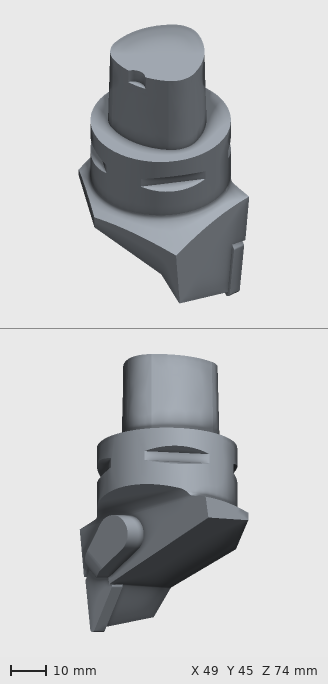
import cadquery as cq
import math



def tan_deg(angle):
    return math.tan(math.radians(angle))


def sin_deg(angle):
    return math.sin(math.radians(angle))


def cos_deg(angle):
    return math.cos(math.radians(angle))


def polar(length, angle):
    return (length * cos_deg(angle), length * sin_deg(angle))


BLOCK_SIZE = 120.0
TOUCHING = 1e-4

shank_height = 24.0
lobe_radius = 8.3
lobe_offset = 6.7
side_radius = 20.78
shank_taper = math.degrees(math.atan(1 / 40))
notch_radius = 3.5
notch_center_y = -14.3
notch_depth = 4.0

flange_radius = 20.0
groove_z = -8.0
groove_floor_width = 2.67
groove_depth = 2.34
groove_flank_angle = 30.0
groove_count = 4

shoulder_z = -19.85
shoulder_angle = 16.0
shoulder_fillet = 1.2
blank_radius = 60.0
blank_bottom_z = -60.0

head_left_x = -22.0
head_front_y = -25.0
corner_front_x = -6.1
corner_left_y = -9.0
end_point = (21.72, head_front_y, -23.57)
end_normal = (1, -0.1084, 0.078)

underside_point = (head_left_x, corner_left_y, -23.17)
underside_normal = (-0.3225, -0.2047, -1)
neck_point = (16.6, head_front_y, -32.25)
neck_normal = (-1.273, -0.206, -1)
neck_fillet = 1.0

neck_tip_front = (22.6, head_front_y, -40.1)
neck_tip_left = (24.8, -4.3, -47.75)
neck_tip_right = (26.05, -4.3, -47.75)

nose_radius = 0.8
nose_center = (26.16, 0.1, -49.23)
insert_inscribed = 9.525
insert_thickness = 4.76
insert_point_angle = 35.0
lead_angle = 93.4
edge_inclination = 13.0
rake_angle = 4.0

rear_step = 1.25
recess_point = (0, 14.2, -17.78)
recess_normal = (0, tan_deg(15), -1)
recess_fillet = 3.5

clamp_height = 7.2
clamp_radius = 5.46
clamp_center = (-19.2, 23.75)
clamp_nose_radius = 3.2
clamp_nose_center = (-9.2, 16.4)
clamp_nose_rounding = 6.0

edge_lean = lead_angle - 90
slope_across = tan_deg(rake_angle)
slope_along = tan_deg(edge_inclination)
rake_slope_x = -slope_across * cos_deg(edge_lean) - slope_along * sin_deg(edge_lean)
rake_slope_z = slope_along * cos_deg(edge_lean) - slope_across * sin_deg(edge_lean)
rake_plane = cq.Plane(
    origin=nose_center,
    xDir=(1, rake_slope_x, 0),
    normal=(rake_slope_x, -1, rake_slope_z),
)


def rake_workplane(depth):
    """Workplane parallel to the rake plane, the given depth into the head."""
    return cq.Workplane(rake_plane).workplane(offset=depth)


def beyond(point, outward):
    """Block filling the space outside a plane."""
    plane = cq.Plane(origin=point, normal=outward)
    return cq.Workplane(plane).rect(2 * BLOCK_SIZE, 2 * BLOCK_SIZE).extrude(BLOCK_SIZE)


def rounded_wedge(first_point, first_normal, second_point, second_normal, radius):
    """Space outside two planes at once, with its inner edge rounded."""
    wedge = beyond(first_point, first_normal).intersect(beyond(second_point, second_normal))

    def on_plane(edge, point, normal):
        offset = edge.Center() - cq.Vector(*point)
        return abs(offset.dot(cq.Vector(*normal).normalized())) < TOUCHING

    inner = [
        edge
        for edge in wedge.edges().vals()
        if on_plane(edge, first_point, first_normal) and on_plane(edge, second_point, second_normal)
    ]
    return wedge.newObject(inner).fillet(radius)


def shank_outline():
    """Three small lobe arcs joined tangentially by three large side arcs."""
    gap = side_radius - lobe_radius
    side_offset = math.sqrt(gap**2 - (lobe_offset * sin_deg(60)) ** 2) - lobe_offset * cos_deg(60)
    side_apothem = side_radius - side_offset
    tangent_x = lobe_offset * cos_deg(30) * side_radius / gap
    tangent_y = side_offset - math.sqrt(side_radius**2 - tangent_x**2)
    tangent_distance = math.hypot(tangent_x, tangent_y)
    half_side = math.degrees(math.atan2(tangent_x, -tangent_y))

    first_side = 270
    outline = cq.Workplane("XY").moveTo(*polar(tangent_distance, first_side - half_side))
    for side_angle in (first_side, first_side + 120, first_side + 240):
        side_middle = polar(side_apothem, side_angle)
        side_end = polar(tangent_distance, side_angle + half_side)
        lobe_middle = polar(lobe_offset + lobe_radius, side_angle + 60)
        lobe_end = polar(tangent_distance, side_angle + 120 - half_side)
        outline = outline.threePointArc(side_middle, side_end)
        outline = outline.threePointArc(lobe_middle, lobe_end)
    return outline.close()


def make_shank():
    shank = shank_outline().extrude(shank_height, taper=shank_taper)
    notch = (
        cq.Workplane("XY", origin=(0, notch_center_y, shank_height - notch_depth))
        .circle(notch_radius)
        .extrude(notch_depth)
    )
    return shank.cut(notch)


def make_blank():
    """Flange and conical shoulder as one turned blank, reaching past the sides of the head."""
    tangent = shoulder_fillet * tan_deg((90 - shoulder_angle) / 2)
    fillet_end = (
        flange_radius + tangent * cos_deg(shoulder_angle),
        shoulder_z - tangent * sin_deg(shoulder_angle),
    )
    rim_z = shoulder_z - (blank_radius - flange_radius) * tan_deg(shoulder_angle)
    profile = (
        cq.Workplane("XZ")
        .lineTo(flange_radius, 0)
        .lineTo(flange_radius, shoulder_z + tangent)
        .tangentArcPoint(fillet_end, relative=False)
        .lineTo(blank_radius, rim_z)
        .lineTo(blank_radius, blank_bottom_z)
        .lineTo(0, blank_bottom_z)
        .close()
    )
    return profile.revolve(360, (0, 0, 0), (0, 1, 0))


def cut_head_sides(body):
    """Flat left, front, corner and end sides of the head."""
    corner_run = corner_front_x - head_left_x
    corner_rise = corner_left_y - head_front_y
    body = body.cut(beyond((head_left_x, 0, 0), (-1, 0, 0)))
    body = body.cut(beyond((0, head_front_y, 0), (0, -1, 0)))
    body = body.cut(beyond((head_left_x, corner_left_y, 0), (-corner_rise, -corner_run, 0)))
    return body.cut(beyond(end_point, end_normal))


def cut_underside(body):
    """Sloping underside and neck flank with a rounded inner corner, and the neck tip flat."""
    below = rounded_wedge(underside_point, underside_normal, neck_point, neck_normal, neck_fillet)
    front = cq.Vector(*neck_tip_front)
    to_left = cq.Vector(*neck_tip_left) - front
    to_right = cq.Vector(*neck_tip_right) - front
    tip_normal = to_left.cross(to_right)
    return body.cut(below).cut(beyond(neck_tip_front, tip_normal.toTuple()))


def cut_rear_recess(body):
    """Inclined rear face, with a rounded corner up to the recess ceiling under the flange."""
    rear_point = rake_plane.toWorldCoords((0, 0, -rear_step)).toTuple()
    rear_normal = (-rake_plane.zDir).toTuple()
    return body.cut(rounded_wedge(rear_point, rear_normal, recess_point, recess_normal, recess_fillet))


def cut_grooves(body):
    """Straight trapezoidal grooves across the flange, on its diagonals."""
    floor_radius = flange_radius - groove_depth
    mouth_radius = flange_radius + groove_depth
    half_floor = groove_floor_width / 2
    half_mouth = half_floor + (mouth_radius - floor_radius) * tan_deg(groove_flank_angle)
    groove = (
        cq.Workplane("XZ", origin=(0, 0, groove_z))
        .moveTo(floor_radius, -half_floor)
        .lineTo(mouth_radius, -half_mouth)
        .lineTo(mouth_radius, half_mouth)
        .lineTo(floor_radius, half_floor)
        .close()
        .extrude(flange_radius, both=True)
    )
    pitch = 360 / groove_count
    for i in range(groove_count):
        body = body.cut(groove.rotate((0, 0, 0), (0, 0, 1), pitch * (i + 0.5)))
    return body


def make_clamp():
    """Round clamp tapering to a nose over the insert, the nose rolling down at its outer end."""
    run = clamp_nose_center[0] - clamp_center[0]
    rise = clamp_nose_center[1] - clamp_center[1]
    spacing = math.hypot(run, rise)
    heading = math.degrees(math.atan2(rise, run))
    spread = math.degrees(math.acos((clamp_radius - clamp_nose_radius) / spacing))
    rear = rake_workplane(-rear_step).plane
    plane = cq.Plane(rear.toWorldCoords(clamp_center), rear.xDir, rear.zDir).rotated((0, 0, heading))

    back_x, back_y = polar(clamp_radius, spread)
    nose_x, nose_y = polar(clamp_nose_radius, spread)
    nose_tip = spacing + clamp_nose_radius
    outline = (
        cq.Workplane(plane)
        .moveTo(back_x, back_y)
        .threePointArc((-clamp_radius, 0), (back_x, -back_y))
        .lineTo(spacing + nose_x, -nose_y)
        .threePointArc((nose_tip, 0), (spacing + nose_x, nose_y))
        .close()
        .extrude(-clamp_height)
    )
    length = clamp_radius + nose_tip
    rolled_block = (
        cq.Workplane(plane)
        .center(nose_tip - length / 2, 0)
        .rect(length, 2 * clamp_radius)
        .extrude(-clamp_height)
        .faces(cq.selectors.DirectionMinMaxSelector(plane.xDir, True))
        .edges(cq.selectors.DirectionMinMaxSelector(plane.zDir, False))
        .fillet(clamp_nose_rounding)
    )
    return outline.intersect(rolled_block)


def insert_prism(top_depth, bottom_depth):
    """Rhombic prism with rounded corners between two depths from the rake plane."""
    half_angle = insert_point_angle / 2
    side = insert_inscribed / sin_deg(insert_point_angle)
    corner_x, corner_y = polar(-nose_radius / sin_deg(half_angle), lead_angle + half_angle)
    outer_x, outer_y = polar(side, lead_angle)
    inner_x, inner_y = polar(side, lead_angle + insert_point_angle)
    return (
        rake_workplane(top_depth)
        .moveTo(corner_x, corner_y)
        .line(outer_x, outer_y)
        .line(inner_x, inner_y)
        .line(-outer_x, -outer_y)
        .close()
        .extrude(bottom_depth - top_depth)
        .edges(cq.selectors.ParallelDirSelector(rake_plane.zDir))
        .fillet(nose_radius)
    )


def make_insert():
    return insert_prism(0, insert_thickness)


def make_holder():
    body = cut_head_sides(make_blank())
    body = cut_underside(body)
    body = cut_rear_recess(body)
    body = cut_grooves(body)
    body = body.cut(insert_prism(-rear_step, insert_thickness))
    return body.union(make_shank()).union(make_clamp())


holder = make_holder()
insert = make_insert()
result = cq.Compound.makeCompound([holder.solids().val(), insert.solids().val()])